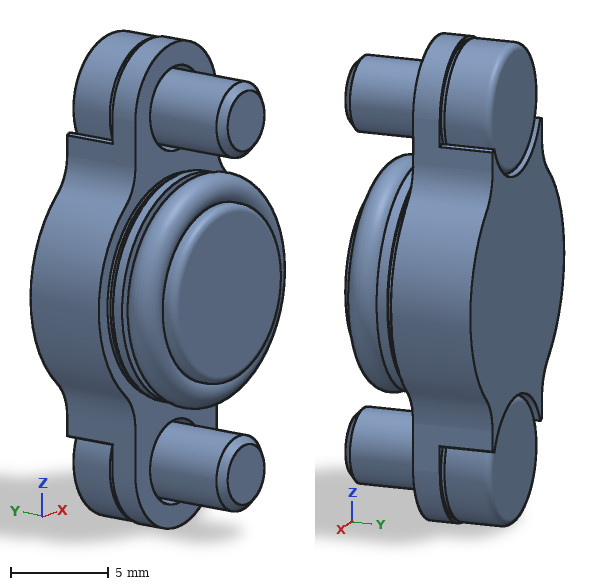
import cadquery as cq
import math

body_radius = 6.67
body_thickness = 4.4
overall_height = 25.85
ear_radius = 3.52
ear_thickness = 1.47
neck_fillet = 2.5
screw_offset = overall_height / 2 - ear_radius

raised_radius = 8.75
head_pocket_radius = ear_radius

screw_radius = 2.003
screw_length = 4.5
screw_chamfer = 0.41
hole_radius = 2.25
head_radius = 3.45
head_recess = 0.15
head_fillet = 0.4
head_under_radial = 0.1
head_under_axial = 0.23

groove_rim_radius = 5.92
groove_radius = 5.85
groove_start = 0.13
groove_end = 0.3
flange_radius = 6.05
flange_start = 0.45
flange_end = 1.03
plug_radius = 4.73
plug_length = 3.4
plug_fillet = 0.41
seal_section_radius = 0.9
seal_outer_radius = 6.18


def cylinder(radius, y_start, y_end, z=0.0):
    """Cylinder along Y between two Y positions."""
    plane = cq.Workplane("XZ", origin=(0, y_start, z))
    return plane.circle(radius).extrude(y_start - y_end)


def revolve_about_y(profile):
    """Revolve an outline, drawn as radius against Y, about the Y axis."""
    return profile.close().revolve(360, (0, 0, 0), (0, 1, 0))


def make_outline(thickness):
    """Round body with two ears, blended by fillets tangent to both."""
    blend_x = ear_radius + neck_fillet
    blend_z = math.sqrt((body_radius + neck_fillet) ** 2 - blend_x ** 2)
    body_share = body_radius / (body_radius + neck_fillet)
    touch_x = blend_x * body_share
    touch_z = blend_z * body_share
    mid_angle = (math.pi + math.atan2(blend_z, blend_x) + math.pi) / 2
    mid_x = blend_x + neck_fillet * math.cos(mid_angle)
    mid_z = blend_z + neck_fillet * math.sin(mid_angle)
    return (
        cq.Workplane("XZ")
        .moveTo(touch_x, -touch_z)
        .threePointArc((body_radius, 0), (touch_x, touch_z))
        .threePointArc((mid_x, mid_z), (ear_radius, blend_z))
        .lineTo(ear_radius, screw_offset)
        .threePointArc((0, overall_height / 2), (-ear_radius, screw_offset))
        .lineTo(-ear_radius, blend_z)
        .threePointArc((-mid_x, mid_z), (-touch_x, touch_z))
        .threePointArc((-body_radius, 0), (-touch_x, -touch_z))
        .threePointArc((-mid_x, -mid_z), (-ear_radius, -blend_z))
        .lineTo(-ear_radius, -screw_offset)
        .threePointArc((0, -overall_height / 2), (ear_radius, -screw_offset))
        .lineTo(ear_radius, -blend_z)
        .threePointArc((mid_x, -mid_z), (touch_x, -touch_z))
        .close()
        .extrude(-thickness)
    )


def make_plate():
    """Thin ears with a thicker middle, pocketed and drilled for the screws."""
    raised = make_outline(body_thickness).intersect(cylinder(raised_radius, 0, body_thickness))
    for z in (-screw_offset, screw_offset):
        raised = raised.cut(cylinder(head_pocket_radius, ear_thickness, body_thickness, z))
    plate = make_outline(ear_thickness).union(raised)
    for z in (-screw_offset, screw_offset):
        plate = plate.cut(cylinder(hole_radius, 0, ear_thickness, z))
    return plate


def make_screw(z):
    """Cylindrical head seated on the back of the ear, shank pointing forward."""
    head_top = body_thickness - head_recess
    fillet_mid = head_fillet * math.sqrt(0.5)
    profile = (
        cq.Workplane("XY")
        .moveTo(0, -screw_length)
        .lineTo(screw_radius - screw_chamfer, -screw_length)
        .lineTo(screw_radius, -screw_length + screw_chamfer)
        .lineTo(screw_radius, ear_thickness)
        .lineTo(head_radius - head_under_radial, ear_thickness)
        .lineTo(head_radius, ear_thickness + head_under_axial)
        .lineTo(head_radius, head_top - head_fillet)
        .threePointArc(
            (head_radius - head_fillet + fillet_mid, head_top - head_fillet + fillet_mid),
            (head_radius - head_fillet, head_top),
        )
        .lineTo(0, head_top)
    )
    return revolve_about_y(profile).translate((0, 0, z))


def make_plug():
    """Grooved root, flange and rounded nose on the front of the plate."""
    fillet_mid = plug_fillet * math.sqrt(0.5)
    profile = (
        cq.Workplane("XY")
        .moveTo(0, 0)
        .lineTo(groove_rim_radius, 0)
        .lineTo(groove_radius, -groove_start)
        .lineTo(groove_radius, -groove_end)
        .lineTo(groove_rim_radius, -flange_start)
        .lineTo(flange_radius, -flange_start)
        .lineTo(flange_radius, -flange_end)
        .lineTo(plug_radius, -flange_end)
        .lineTo(plug_radius, -plug_length + plug_fillet)
        .threePointArc(
            (plug_radius - plug_fillet + fillet_mid, -plug_length + plug_fillet - fillet_mid),
            (plug_radius - plug_fillet, -plug_length),
        )
        .lineTo(0, -plug_length)
    )
    return revolve_about_y(profile)


def make_seal():
    """Sealing ring around the nose, resting against the flange."""
    ring_radius = seal_outer_radius - seal_section_radius
    center_y = -flange_end - seal_section_radius
    section = cq.Workplane("XY").center(ring_radius, center_y).circle(seal_section_radius)
    return section.revolve(360, (-ring_radius, 0, 0), (-ring_radius, 1, 0))


result = make_plate().union(make_plug()).union(make_seal())
for screw_z in (-screw_offset, screw_offset):
    result = result.union(make_screw(screw_z))